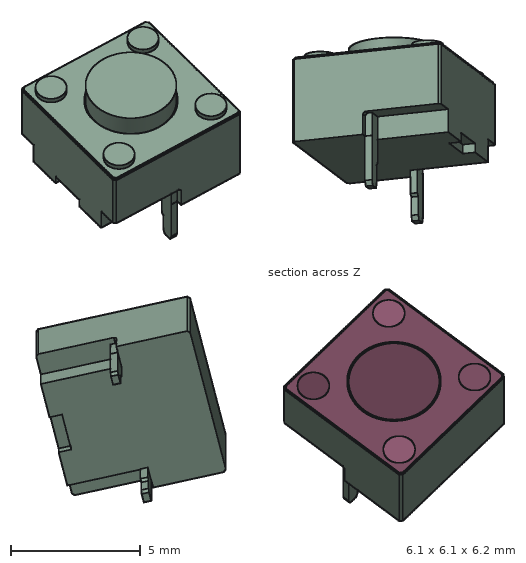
import cadquery as cq

TOTAL_HEIGHT = 6.2

HOUSING_SIDE = 6.1
HALF_SIDE = HOUSING_SIDE / 2
HOUSING_HEIGHT = 3.325
CORNER_CHAMFER = 0.1

COVER_INSET = 0.05
COVER_SIDE = HOUSING_SIDE - 2 * COVER_INSET
COVER_THICKNESS = 0.075

PIN_LENGTH = 1.99
PIN_THICKNESS = 0.29
PIN_EDGE_INSET = 0.25
PIN_WIDTH = 0.625
PIN_LOWER_WIDTH = 0.52
PIN_STEP_TOP = 0.93
PIN_STEP_DROP = 0.12
TIP_LENGTH = 0.21
TIP_INSET = 0.075

NOTCH_WIDTH = 0.855
NOTCH_HEIGHT = 0.92
SLOT_WIDTH = 0.255
SLOT_CHAMFER = 0.1
SLOT_BACK = PIN_THICKNESS / 2

RELIEF_WIDTH = 1.51
RELIEF_HEIGHT = 0.36
RELIEF_DEPTH = 0.5

BUTTON_DIAMETER = 3.5
BORE_DIAMETER = 3.6
BUTTON_RISE = TOTAL_HEIGHT - PIN_LENGTH - HOUSING_HEIGHT - COVER_THICKNESS

PEG_DIAMETER = 1.2
PEG_OFFSET = 2.2
PEG_RISE = 0.205

SIDES = (-1, 1)
PEG_CENTRES = [(x * PEG_OFFSET, y * PEG_OFFSET) for x in SIDES for y in SIDES]


def make_chamfered_block(side, bottom, height):
    """Square block with chamfered vertical edges."""
    block = cq.Workplane("XY").workplane(offset=bottom).rect(side, side).extrude(height)
    return block.edges("|Z").chamfer(CORNER_CHAMFER)


def make_disc(diameter, height, centre=(0, 0)):
    """Upright cylinder standing on top of the housing."""
    base = cq.Workplane("XY").workplane(offset=HOUSING_HEIGHT)
    return base.center(*centre).circle(diameter / 2).extrude(height)


def make_pin(side):
    """Flat pin below the housing, with a stepped inner edge and a tapered tip."""
    outer = HALF_SIDE - PIN_EDGE_INSET
    inner = outer - PIN_WIDTH
    lower_inner = outer - PIN_LOWER_WIDTH
    taper_start = TIP_LENGTH - PIN_LENGTH
    profile = [
        (outer, 0),
        (outer, taper_start),
        (outer - TIP_INSET, -PIN_LENGTH),
        (lower_inner + TIP_INSET, -PIN_LENGTH),
        (lower_inner, taper_start),
        (lower_inner, -PIN_STEP_TOP - PIN_STEP_DROP),
        (inner, -PIN_STEP_TOP),
        (inner, 0),
    ]
    outline = cq.Workplane("XZ").polyline([(side * x, z) for x, z in profile]).close()
    return outline.extrude(PIN_THICKNESS / 2, both=True)


def make_corner_notch(side):
    """Cutter for one corner: a notch up to the pin's front face and a slot beside the pin."""
    notch_profile = [
        (-HALF_SIDE, 0),
        (-PIN_THICKNESS / 2, 0),
        (-PIN_THICKNESS / 2, NOTCH_HEIGHT),
        (-HALF_SIDE, NOTCH_HEIGHT),
    ]
    slot_profile = [
        (-HALF_SIDE, 0),
        (SLOT_BACK, 0),
        (SLOT_BACK, NOTCH_HEIGHT - SLOT_CHAMFER),
        (SLOT_BACK - SLOT_CHAMFER, NOTCH_HEIGHT),
        (-HALF_SIDE, NOTCH_HEIGHT),
    ]
    outer_face = cq.Workplane("YZ").workplane(offset=side * HALF_SIDE)
    notch = outer_face.polyline(notch_profile).close().extrude(-side * NOTCH_WIDTH)
    slot = outer_face.polyline(slot_profile).close().extrude(-side * SLOT_WIDTH)
    return notch.union(slot)


def make_front_relief():
    """Cutter for the relief in the front bottom edge."""
    block = cq.Workplane("XY").box(
        RELIEF_WIDTH, RELIEF_DEPTH, RELIEF_HEIGHT, centered=(True, False, False)
    )
    return block.translate((0, -HALF_SIDE, 0))


def make_housing():
    """Housing with its corner notches, front relief and two pins."""
    body = make_chamfered_block(HOUSING_SIDE, 0, HOUSING_HEIGHT)
    body = body.cut(make_front_relief())
    for side in SIDES:
        body = body.cut(make_corner_notch(side))
        body = body.union(make_pin(side))
    return body


def make_cover():
    """Thin plate with a bore for the button and a hole for each peg."""
    cover = make_chamfered_block(COVER_SIDE, HOUSING_HEIGHT, COVER_THICKNESS)
    cover = cover.cut(make_disc(BORE_DIAMETER, COVER_THICKNESS))
    for centre in PEG_CENTRES:
        cover = cover.cut(make_disc(PEG_DIAMETER, COVER_THICKNESS, centre))
    return cover


def make_peg(centre):
    """Round peg passing through the cover."""
    return make_disc(PEG_DIAMETER, COVER_THICKNESS + PEG_RISE, centre)


housing = make_housing()
cover = make_cover()
button = make_disc(BUTTON_DIAMETER, COVER_THICKNESS + BUTTON_RISE)
pegs = [make_peg(centre) for centre in PEG_CENTRES]

bodies = [housing, cover, button, *pegs]
result = cq.Compound.makeCompound([body.solids().val() for body in bodies])